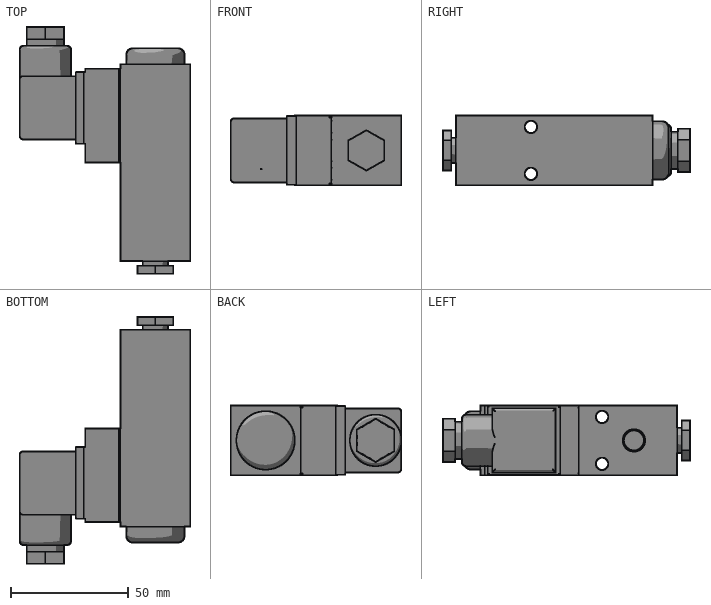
import cadquery as cq
import math

total_width = 73.0
total_length = 105.5

body_side = 30.0
body_front = 5.5
body_rear = 89.6
body_left = total_width - body_side
body_axis_x = total_width - body_side / 2

screw_head_length = 3.6
screw_head_flats = 15.3
screw_head_corners = 17.2
screw_head_side = 8.5
screw_neck_diameter = 11.0

cap_diameter = 25.0
cap_end = 96.4
cap_round = 3.0

coil_left = 28.1
coil_front = 47.6
coil_rear = 87.7
gasket_thickness = 0.7
gasket_recess = 1.0

flange_left = 24.0
flange_front = 55.5
flange_rear = 86.3
flange_height = 29.5
flange_round = 0.6
lip_thickness = 0.6

plug_front = 57.4
plug_rear = 84.5
plug_height = 27.4
plug_round = 1.6

gland_diameter = 22.0
gland_end = 97.5
gland_round = 1.8
gland_neck_diameter = 16.0
nut_start = 100.3
nut_flats = 16.0

mount_hole_diameter = 5.2
mount_hole_y = 37.6
mount_hole_offset = 10.0
port_diameter = 8.5
port_chamfer = 0.5
port_y = 24.0
port_depth = 10.5


def block(x_start, x_end, y_start, y_end, height):
    """Box centred on z = 0."""
    return (
        cq.Workplane("XY")
        .box(x_end - x_start, y_end - y_start, height, centered=(False, False, True))
        .translate((x_start, y_start, 0))
    )


def cylinder_y(x, y_start, y_end, diameter):
    """Cylinder along +Y at the given x, centred on z = 0."""
    plane = cq.Workplane("XZ", origin=(x, y_start, 0))
    return plane.circle(diameter / 2).extrude(-(y_end - y_start))


def hex_prism_y(x, y_start, y_end, flats, corners, side):
    """Hexagonal prism along +Y with two flats facing +X and -X."""
    points = [
        (0, corners / 2),
        (flats / 2, side / 2),
        (flats / 2, -side / 2),
        (0, -corners / 2),
        (-flats / 2, -side / 2),
        (-flats / 2, side / 2),
    ]
    plane = cq.Workplane("XZ", origin=(x, y_start, 0))
    return plane.polyline(points).close().extrude(-(y_end - y_start))


def hole_x(y, z, diameter, depth):
    """Cutter running in +X from the left face of the body."""
    plane = cq.Workplane("YZ", origin=(body_left, y, z))
    return plane.circle(diameter / 2).extrude(depth)


def make_body():
    body = block(body_left, total_width, body_front, body_rear, body_side)
    for z in (-mount_hole_offset, mount_hole_offset):
        body = body.cut(hole_x(mount_hole_y, z, mount_hole_diameter, body_side))
    port = hole_x(port_y, 0, port_diameter, port_depth)
    body = body.cut(port)
    mouth = cq.selectors.NearestToPointSelector((body_left, port_y, 0))
    return body.faces("<X").edges("%CIRCLE").edges(mouth).chamfer(port_chamfer)


def make_screw():
    neck = cylinder_y(body_axis_x, screw_head_length, body_front, screw_neck_diameter)
    head = hex_prism_y(
        body_axis_x, 0, screw_head_length, screw_head_flats, screw_head_corners, screw_head_side
    )
    return neck.union(head)


def make_cap():
    cap = cylinder_y(body_axis_x, body_rear, cap_end, cap_diameter)
    return cap.faces(">Y").edges().fillet(cap_round)


def make_coil():
    coil_right = body_left - gasket_thickness
    coil = block(coil_left, coil_right, coil_front, coil_rear, body_side)
    gasket_height = body_side - 2 * gasket_recess
    gasket = block(coil_right, body_left, coil_front, coil_rear, gasket_height)
    return coil.union(gasket)


def make_plug():
    lip_left = coil_left - lip_thickness
    lip = block(lip_left, coil_left, flange_front, flange_rear, body_side)
    flange = block(flange_left, lip_left, flange_front, flange_rear, flange_height)
    flange = flange.faces("<X").edges().fillet(flange_round)
    housing = block(0, flange_left, plug_front, plug_rear, plug_height)
    housing = housing.faces("<X").edges().fillet(plug_round)
    return lip.union(flange).union(housing)


def make_gland():
    axis_x = gland_diameter / 2
    sleeve = cylinder_y(axis_x, plug_rear - plug_round, gland_end, gland_diameter)
    sleeve = sleeve.faces(">Y").edges().fillet(gland_round)
    neck = cylinder_y(axis_x, gland_end, nut_start, gland_neck_diameter)
    nut_side = nut_flats / math.sqrt(3)
    nut = hex_prism_y(axis_x, nut_start, total_length, nut_flats, 2 * nut_side, nut_side)
    return sleeve.union(neck).union(nut)


result = make_body()
for component in (make_screw(), make_cap(), make_coil(), make_plug(), make_gland()):
    result = result.union(component)